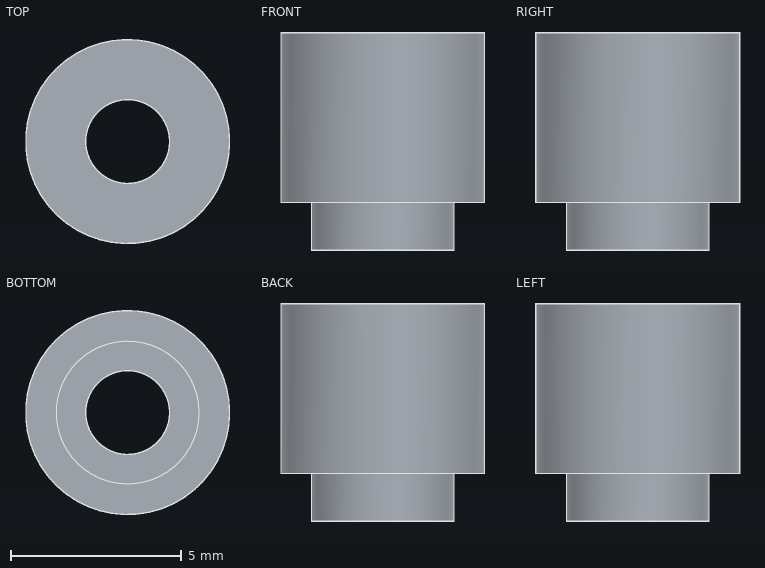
import cadquery as cq

total_height = 6.4
spigot_height = 1.4
body_height = total_height - spigot_height
body_diameter = 6.0
spigot_diameter = 4.2
bore_diameter = 2.46

spigot = cq.Workplane("XY").circle(spigot_diameter / 2).extrude(spigot_height)
body = (
    cq.Workplane("XY")
    .workplane(offset=spigot_height)
    .circle(body_diameter / 2)
    .extrude(body_height)
)

bore = cq.Workplane("XY").circle(bore_diameter / 2).extrude(total_height)

result = spigot.union(body).cut(bore)